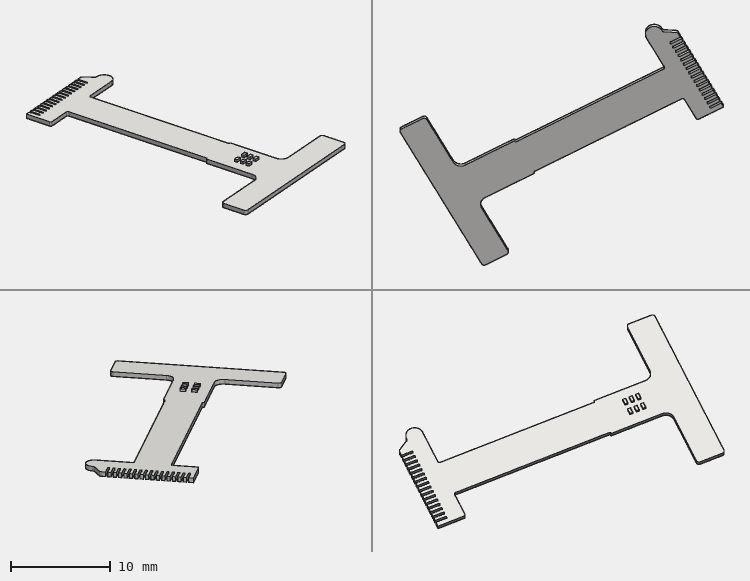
import cadquery as cq

total_length = 29.7
board_thickness = 0.5

bar_span = 17.4
bar_width = 3.03
bar_corner_radius = 0.3

stem_width = 3.8
neck_width = 4.15
neck_step_x = 20.15
neck_fillet_radius = 0.9

head_width = 3.03
head_bottom_y = -4.72
head_corner_radius = 0.18
ear_radius = 0.9
ear_tip_y = 6.65
ramp_low_y = 4.8
ramp_high_y = 5.6
ramp_low_radius = 0.2
ramp_high_radius = 0.25

slot_count = 16
slot_row_length = 8.23
slot_width = 0.2
slot_depth = 1.22
slot_corner_radius = 0.075

chip_length = 0.33
chip_width = 0.55
chip_height = 0.27
chip_columns = 3
chip_rows = 2
chip_pitch_x = 0.7
chip_pitch_y = 1.2
chip_centre_x = 23.65

slot_pitch = slot_row_length / (slot_count - 1)
bar_left_x = total_length - bar_width
half_bar = bar_span / 2
half_stem = stem_width / 2
half_neck = neck_width / 2
step_radius = (half_neck - half_stem) / 2
half_step = (half_neck + half_stem) / 2
ear_left_x = head_width - 2 * ear_radius
ear_centre_x = head_width - ear_radius
ear_centre_y = ear_tip_y - ear_radius


def board_outline():
    """Closed outline, counter-clockwise from the lower comb corner."""
    step_start_x = neck_step_x - step_radius
    step_end_x = neck_step_x + step_radius
    return (
        cq.Workplane("XY")
        .moveTo(0, head_bottom_y)
        .lineTo(head_width, head_bottom_y)
        .lineTo(head_width, -half_stem)
        .lineTo(step_start_x, -half_stem)
        .tangentArcPoint((neck_step_x, -half_step), relative=False)
        .tangentArcPoint((step_end_x, -half_neck), relative=False)
        .lineTo(bar_left_x, -half_neck)
        .lineTo(bar_left_x, -half_bar)
        .lineTo(total_length, -half_bar)
        .lineTo(total_length, half_bar)
        .lineTo(bar_left_x, half_bar)
        .lineTo(bar_left_x, half_neck)
        .lineTo(step_end_x, half_neck)
        .tangentArcPoint((neck_step_x, half_step), relative=False)
        .tangentArcPoint((step_start_x, half_stem), relative=False)
        .lineTo(head_width, half_stem)
        .lineTo(head_width, ear_centre_y)
        .threePointArc((ear_centre_x, ear_tip_y), (ear_left_x, ear_centre_y))
        .lineTo(ear_left_x, ramp_high_y)
        .lineTo(0, ramp_low_y)
        .close()
    )


def round_corners(body, corners, radius):
    """Fillet the upright edges that stand on the given XY corners."""
    for x, y in corners:
        nearest = cq.selectors.NearestToPointSelector((x, y, board_thickness / 2))
        body = body.edges("|Z").edges(nearest).fillet(radius)
    return body


def comb_slots():
    """All comb slots as one cutter."""
    positions = [(0, i * slot_pitch - slot_row_length / 2) for i in range(slot_count)]
    return (
        cq.Workplane("XY")
        .pushPoints(positions)
        .rect(2 * slot_depth, slot_width)
        .extrude(board_thickness)
        .edges("|Z")
        .fillet(slot_corner_radius)
    )


def make_board():
    board = board_outline().extrude(board_thickness)
    bar_corners = [(x, y) for x in (bar_left_x, total_length) for y in (-half_bar, half_bar)]
    neck_corners = [(bar_left_x, -half_neck), (bar_left_x, half_neck)]
    head_corners = [(head_width, y) for y in (head_bottom_y, -half_stem, half_stem)]
    board = round_corners(board, bar_corners, bar_corner_radius)
    board = round_corners(board, neck_corners, neck_fillet_radius)
    board = round_corners(board, head_corners, head_corner_radius)
    board = round_corners(board, [(0, ramp_low_y)], ramp_low_radius)
    board = round_corners(board, [(ear_left_x, ramp_high_y)], ramp_high_radius)
    return board.cut(comb_slots())


def make_chip(x, y):
    return (
        cq.Workplane("XY", origin=(x, y, board_thickness))
        .box(chip_length, chip_width, chip_height, centered=(True, True, False))
    )


board = make_board()

chips = []
for column in range(chip_columns):
    for row in range(chip_rows):
        chip_x = chip_centre_x + (column - (chip_columns - 1) / 2) * chip_pitch_x
        chip_y = (row - (chip_rows - 1) / 2) * chip_pitch_y
        chips.append(make_chip(chip_x, chip_y))

result = cq.Compound.makeCompound([board.val(), *[chip.val() for chip in chips]])